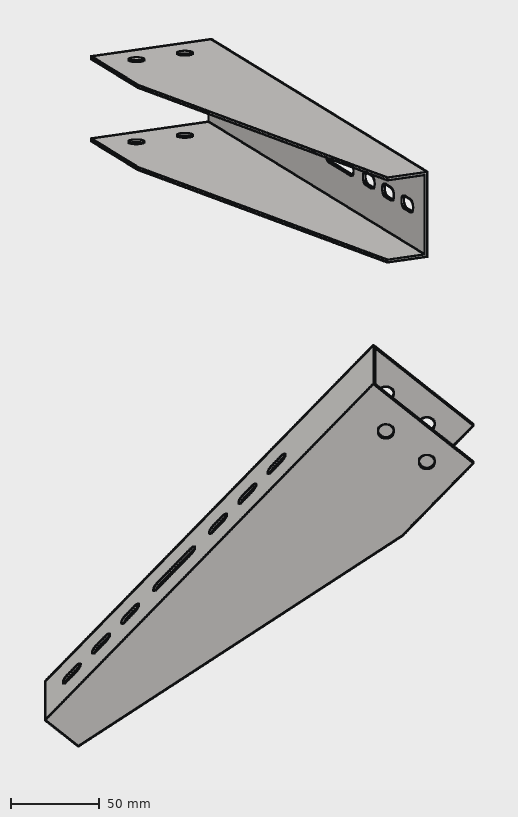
import cadquery as cq

length = 280.0
depth = 75.0
height = 50.0
sheet = 1.7

full_depth_length = 60.5
tip_depth = 25.0

hole_diameter = 9.0
flange_holes = [(17.5, 25.0), (16.8, 55.0)]

slot_width = 7.5
short_slot_length = 15.0
long_slot_length = 35.5
middle_slot_x = 170.0
first_slot_offset = 37.5
slot_pitch = 25.0
short_slots_per_side = 3


def make_channel():
    """Tapered U channel, open toward -Y, with its back face at Y = depth."""
    outline = [
        (0, 0),
        (full_depth_length, 0),
        (length, depth - tip_depth),
        (length, depth),
        (0, depth),
    ]
    block = cq.Workplane("XY").polyline(outline).close().extrude(height)
    cavity = cq.Workplane("XY").box(
        length, depth - sheet, height - 2 * sheet, centered=False
    ).translate((0, 0, sheet))
    return block.cut(cavity)


def make_flange_holes():
    """Round cutters that pass through both flanges."""
    centers = [(x, depth - setback) for x, setback in flange_holes]
    return cq.Workplane("XY").pushPoints(centers).circle(hole_diameter / 2).extrude(height)


def make_slot(center_x, slot_length):
    """Round-ended cutter that passes through the web at mid height."""
    return (
        cq.Workplane("XZ", origin=(center_x, depth, height / 2))
        .slot2D(slot_length, slot_width)
        .extrude(2 * sheet)
    )


result = make_channel().cut(make_flange_holes())
result = result.cut(make_slot(middle_slot_x, long_slot_length))
for side in (-1, 1):
    for index in range(short_slots_per_side):
        offset = first_slot_offset + index * slot_pitch
        result = result.cut(make_slot(middle_slot_x + side * offset, short_slot_length))